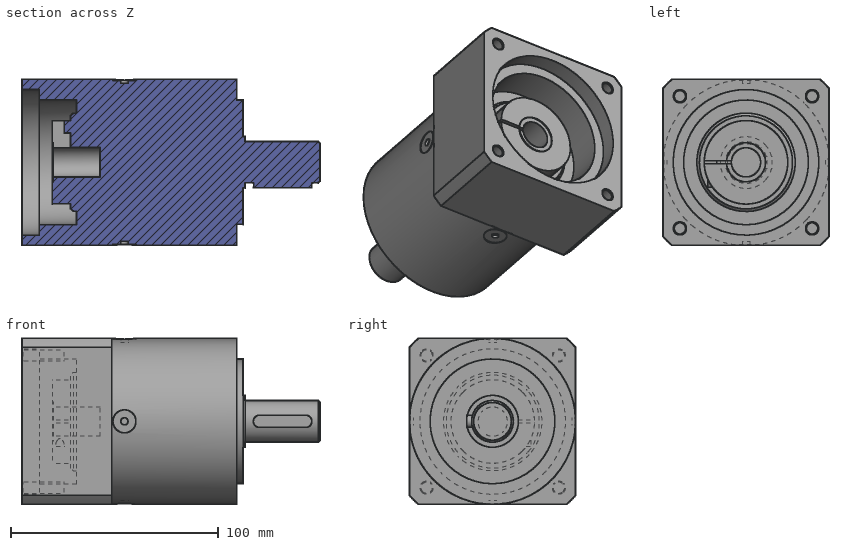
import cadquery as cq

flange_length = 43.3
housing_end = 103.5
pilot_end = 106.5
collar_end = 107.3
shaft_end = 143.5

width = 80.0
corner_turn_diameter = 107.0
pilot_diameter = 60.0
collar_diameter = 25.0
shaft_diameter = 20.1
shaft_chamfer = 1.0

motor_pilot_diameter = 70.0
motor_pilot_depth = 8.3
cavity_diameter = 60.0
cavity_depth = 26.3

hub_face = 14.6
hub_diameter = 40.2
hub_base_diameter = 47.4
hub_base_height = 2.9
hub_base_chamfer = 1.3
bore_diameter = 14.0
bore_depth = 23.0
bore_recess_diameter = 18.8
bore_recess_depth = 0.5
slit_width = 1.5
slit_step_radius = 14.0
slit_outer_depth = 5.7
screw_diameter = 4.3
screw_offset = 16.2
screw_depth = 1.5
screw_reach = 12.0
screw_length = 7.2

screw_hole_spacing = 63.5
screw_hole_diameter = 5.5
screw_hole_mouth_diameter = 6.3
screw_hole_depth = 20.1

plug_station = 49.4
plug_diameter = 11.0
plug_face_radius = 39.5
plug_socket_diameter = 3.5
plug_socket_depth = 1.5

key_start = 111.4
key_length = 28.1
key_width = 5.9
key_top_radius = 12.3


def cylinder(diameter, start, end):
    """Cylinder on the X axis between two stations."""
    return cq.Workplane("YZ").workplane(offset=start).circle(diameter / 2).extrude(end - start)


def make_flange():
    """Square motor flange with its corners turned to a common diameter."""
    block = cq.Workplane("YZ").rect(width, width).extrude(flange_length)
    return block.intersect(cylinder(corner_turn_diameter, 0, flange_length))


def make_output_side():
    """Round housing, pilot, collar and chamfered output shaft."""
    shaft = cylinder(shaft_diameter, collar_end, shaft_end).faces(">X").chamfer(shaft_chamfer)
    return (
        cylinder(width, flange_length, housing_end)
        .union(cylinder(pilot_diameter, housing_end, pilot_end))
        .union(cylinder(collar_diameter, pilot_end, collar_end))
        .union(shaft)
    )


def make_cavity():
    """Stepped round opening for the motor."""
    return cylinder(motor_pilot_diameter, 0, motor_pilot_depth).union(
        cylinder(cavity_diameter, 0, cavity_depth)
    )


def make_slit(length, depth):
    """Radial slot in the hub face, running from the axis toward +Y."""
    return (
        cq.Workplane("YZ", origin=(hub_face, length / 2, 0))
        .rect(length, slit_width)
        .extrude(depth)
    )


def make_hub():
    """Split clamping hub on a chamfered base, with its clamp screw head at the side."""
    base = cylinder(hub_base_diameter, cavity_depth - hub_base_height, cavity_depth)
    base = base.faces("<X").edges().chamfer(hub_base_chamfer)
    clamp_height = cavity_depth - hub_base_height - hub_face
    screw_head = (
        cq.Workplane("XY", origin=(hub_face + screw_depth + screw_diameter / 2, screw_offset, -screw_reach))
        .circle(screw_diameter / 2)
        .extrude(screw_length)
    )
    return (
        cylinder(hub_diameter, hub_face, cavity_depth)
        .cut(make_slit(slit_step_radius, clamp_height))
        .cut(make_slit(hub_diameter / 2, slit_outer_depth))
        .union(base)
        .union(screw_head)
    )


def make_bore():
    """Motor shaft bore with a shallow recess round its mouth."""
    return cylinder(bore_diameter, hub_face, hub_face + bore_depth).union(
        cylinder(bore_recess_diameter, hub_face, hub_face + bore_recess_depth)
    )


def make_screw_holes():
    """Four blind holes with chamfered mouths in the motor face."""
    mouth_chamfer = (screw_hole_mouth_diameter - screw_hole_diameter) / 2
    profile = [
        (0, 0),
        (0, screw_hole_mouth_diameter / 2),
        (mouth_chamfer, screw_hole_diameter / 2),
        (screw_hole_depth, screw_hole_diameter / 2),
        (screw_hole_depth, 0),
    ]
    hole = cq.Workplane("XY").polyline(profile).close().revolve(360, (0, 0, 0), (1, 0, 0))
    half_spacing = screw_hole_spacing / 2
    holes = cq.Workplane("XY")
    for y in (-half_spacing, half_spacing):
        for z in (-half_spacing, half_spacing):
            holes = holes.add(hole.translate((0, y, z)))
    return holes.combine()


def make_plug_recess(angle):
    """Flat-bottomed recess with a central socket, turned about the axis."""
    recess = (
        cq.Workplane("XY", origin=(plug_station, 0, plug_face_radius))
        .circle(plug_diameter / 2)
        .extrude(width / 2 - plug_face_radius)
        .faces("<Z")
        .workplane()
        .circle(plug_socket_diameter / 2)
        .extrude(plug_socket_depth)
    )
    return recess.rotate((0, 0, 0), (1, 0, 0), angle)


def make_key():
    """Round-ended key rising from the shaft on the -Y side."""
    return (
        cq.Workplane("XZ", origin=(key_start + key_length / 2, 0, 0))
        .slot2D(key_length, key_width)
        .extrude(key_top_radius)
    )


result = make_flange().union(make_output_side()).cut(make_cavity()).union(make_hub()).cut(make_bore())
result = result.cut(make_screw_holes())
for plug_angle in (0, 90, 180, 270):
    result = result.cut(make_plug_recess(plug_angle))
result = result.union(make_key())